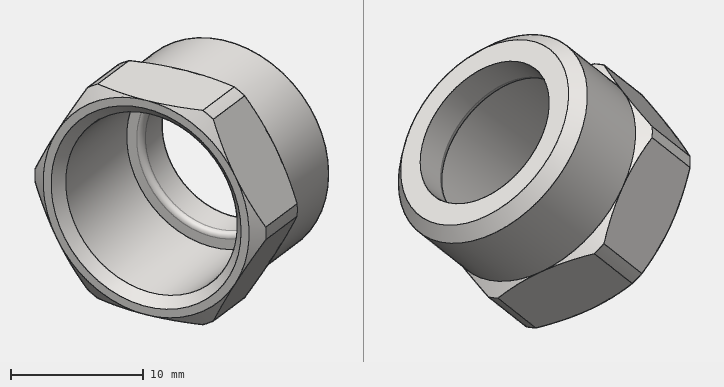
import cadquery as cq
import math

across_flats = 18.0
corner_diameter = 20.2
head_length = 6.0
crown_angle = 30.0

total_length = 13.0
collar_radius = across_flats / 2
collar_chamfer = 1.0

entry_radius = 8.3
bore_radius = 7.5
entry_depth = entry_radius - bore_radius
bore_depth = 10.0
through_radius = 6.15
lip_fillet = 0.48


def revolve_about_y(profile):
    """Turn a closed (radius, y) profile about the Y axis."""
    return cq.Workplane("XY").polyline(profile).close().revolve(360, (0, 0, 0), (0, 1, 0))


def make_head():
    """Hexagon with flats facing +Z and -Z, crowned at both ends and rounded at the corners."""
    corner_radius = corner_diameter / 2
    crown_depth = (corner_radius - collar_radius) * math.tan(math.radians(crown_angle))
    hexagon = (
        cq.Workplane("XZ")
        .polygon(6, across_flats / math.cos(math.radians(30)))
        .extrude(-head_length)
    )
    envelope = revolve_about_y([
        (0, 0),
        (collar_radius, 0),
        (corner_radius, crown_depth),
        (corner_radius, head_length - crown_depth),
        (collar_radius, head_length),
        (0, head_length),
    ])
    return hexagon.intersect(envelope)


def make_collar():
    """Round collar with a chamfered far rim; it starts inside the head to join it."""
    collar_start = head_length / 2
    return revolve_about_y([
        (0, collar_start),
        (collar_radius, collar_start),
        (collar_radius, total_length - collar_chamfer),
        (collar_radius - collar_chamfer, total_length),
        (0, total_length),
    ])


def make_bore():
    """Countersunk bore, a flat shoulder and a rounded lip into the through hole."""
    lip_middle = lip_fillet * (1 - math.sqrt(0.5))
    return (
        cq.Workplane("XY")
        .lineTo(entry_radius, 0)
        .lineTo(bore_radius, entry_depth)
        .lineTo(bore_radius, bore_depth)
        .lineTo(through_radius + lip_fillet, bore_depth)
        .threePointArc(
            (through_radius + lip_middle, bore_depth + lip_middle),
            (through_radius, bore_depth + lip_fillet),
        )
        .lineTo(through_radius, total_length)
        .lineTo(0, total_length)
        .close()
        .revolve(360, (0, 0, 0), (0, 1, 0))
    )


result = make_head().union(make_collar()).cut(make_bore())